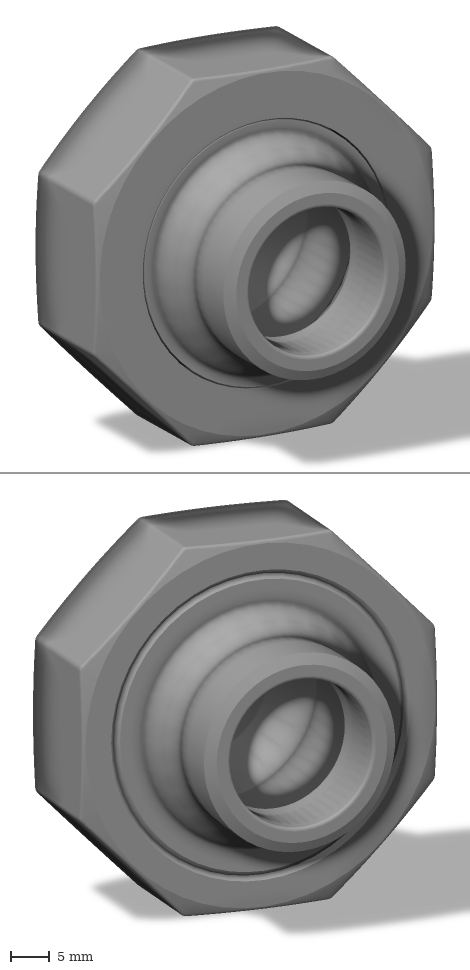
import cadquery as cq
import math

TOTAL_LENGTH = 45
NUT_ACROSS_FLATS = 50
NUT_WIDTH = 17.1
NUT_SIDES = 8

NUT_FACE_DIAMETER = 49.2
NUT_CHAMFER_ANGLE = 21
NUT_CORNER_FILLET = 1
NUT_CHAMFER_FILLET = 0.5

MOUTH_DIAMETER = 42
CHAMBER_DIAMETER = 39.85
LIP_HOLE_DIAMETER = 36.5
LIP_THICKNESS = 4.5

THREAD_CHAMFER_DIAMETER = 39.5
THREAD_DIAMETER = (MOUTH_DIAMETER + THREAD_CHAMFER_DIAMETER) / 2

COLLAR_DIAMETER = 39.5
COLLAR_NECK_DIAMETER = 36
COLLAR_LENGTH = 3.5

PIPE_DIAMETER = 26.9
BORE_DIAMETER = 20
PIPE_LENGTH = 8.65
PIPE_BEVEL_ANGLE = 30
PIPE_FACE_DIAMETER = 24
BORE_MOUTH_FILLET = 0.5
CONE_ANGLE = 30
CONE_BEND_FILLET = 0.5
CONE_ROOT_FILLET = 0.5
SEAT_FILLET = 0.5
SEAT_DIAMETER = 28

half_length = TOTAL_LENGTH / 2
half_width = NUT_WIDTH / 2
cone_start = half_length - PIPE_LENGTH
cone_slope = math.tan(math.radians(CONE_ANGLE))
lip_inner_x = half_width - LIP_THICKNESS
joint_x = lip_inner_x - COLLAR_LENGTH
wall_thickness = (PIPE_DIAMETER - BORE_DIAMETER) / 2
flare_start = cone_start - wall_thickness * math.tan(math.radians(CONE_ANGLE / 2))
seat_x = flare_start - (SEAT_DIAMETER - BORE_DIAMETER) / 2 / cone_slope


def revolve_about_x(points):
    """Solid of revolution from (x, radius) points."""
    return cq.Workplane("XY").polyline(points).close().revolve(360, (0, 0), (1, 0))


def round_circles(solid, radius, places):
    """Fillet the circular edges lying at the given (x, diameter) places."""
    tolerance = 0.005
    edges = [
        edge
        for edge in solid.edges("%CIRCLE").vals()
        for x, diameter in places
        if abs(edge.arcCenter().x - x) < tolerance
        and abs(edge.radius() - diameter / 2) < tolerance
    ]
    return solid.newObject(edges).fillet(radius)


def weld_end(side, body_points, end_x):
    """Weld pipe with its cone, on the -X (side -1) or +X (side 1) end.

    body_points continue the outline from the foot of the cone to the joint at end_x.
    """
    bevel = (PIPE_DIAMETER - PIPE_FACE_DIAMETER) / 2 * math.tan(math.radians(PIPE_BEVEL_ANGLE))
    cone_foot_radius = PIPE_DIAMETER / 2 + (cone_start - half_width) * cone_slope
    pipe_end = side * half_length
    bend_x = side * cone_start
    flare_x = side * flare_start
    foot_x = side * half_width
    outline = [
        (pipe_end, BORE_DIAMETER / 2),
        (pipe_end, PIPE_FACE_DIAMETER / 2),
        (pipe_end - side * bevel, PIPE_DIAMETER / 2),
        (bend_x, PIPE_DIAMETER / 2),
        (foot_x, cone_foot_radius),
        *body_points,
        (end_x, SEAT_DIAMETER / 2),
        (side * seat_x, SEAT_DIAMETER / 2),
        (flare_x, BORE_DIAMETER / 2),
    ]
    end = revolve_about_x(outline)
    end = round_circles(end, BORE_MOUTH_FILLET, [(pipe_end, BORE_DIAMETER)])
    end = round_circles(end, CONE_BEND_FILLET, [(bend_x, PIPE_DIAMETER), (flare_x, BORE_DIAMETER)])
    end = round_circles(end, SEAT_FILLET, [(side * seat_x, SEAT_DIAMETER)])
    return round_circles(end, CONE_ROOT_FILLET, [(foot_x, 2 * cone_foot_radius)])


def make_threaded_end():
    chamfer = (THREAD_DIAMETER - THREAD_CHAMFER_DIAMETER) / 2
    return weld_end(-1, [
        (-half_width, THREAD_CHAMFER_DIAMETER / 2),
        (-half_width + chamfer, THREAD_DIAMETER / 2),
        (joint_x, THREAD_DIAMETER / 2),
    ], joint_x)


def make_collared_end():
    return weld_end(1, [
        (half_width, COLLAR_NECK_DIAMETER / 2),
        (lip_inner_x, COLLAR_NECK_DIAMETER / 2),
        (lip_inner_x, COLLAR_DIAMETER / 2),
        (joint_x, COLLAR_DIAMETER / 2),
    ], joint_x)


def make_nut_blank():
    """Octagonal prism with rounded corners and a rounded conical chamfer on both faces."""
    across_corners = NUT_ACROSS_FLATS / math.cos(math.pi / NUT_SIDES)
    chamfer_slope = math.tan(math.radians(NUT_CHAMFER_ANGLE))
    half_corner_width = half_width - (across_corners - NUT_FACE_DIAMETER) / 2 * chamfer_slope
    prism = (
        cq.Workplane("YZ")
        .transformed(rotate=(0, 0, 180 / NUT_SIDES))
        .polygon(NUT_SIDES, across_corners)
        .extrude(half_width, both=True)
        .edges("|X")
        .fillet(NUT_CORNER_FILLET)
    )
    envelope = revolve_about_x([
        (-half_width, 0),
        (-half_width, NUT_FACE_DIAMETER / 2),
        (-half_corner_width, across_corners / 2),
        (half_corner_width, across_corners / 2),
        (half_width, NUT_FACE_DIAMETER / 2),
        (half_width, 0),
    ])
    blank = prism.intersect(envelope)
    side_faces = blank.faces("%PLANE").faces("#X")
    chamfer_edges = side_faces.edges("not |X").add(blank.faces("%CYLINDER").edges("not |X"))
    return blank.newObject(chamfer_edges.vals()).fillet(NUT_CHAMFER_FILLET)


def make_nut():
    mouth_chamfer = (MOUTH_DIAMETER - THREAD_DIAMETER) / 2
    cavity = revolve_about_x([
        (-half_width, 0),
        (-half_width, MOUTH_DIAMETER / 2),
        (-half_width + mouth_chamfer, THREAD_DIAMETER / 2),
        (joint_x, THREAD_DIAMETER / 2),
        (joint_x, CHAMBER_DIAMETER / 2),
        (lip_inner_x, CHAMBER_DIAMETER / 2),
        (lip_inner_x, LIP_HOLE_DIAMETER / 2),
        (half_width, LIP_HOLE_DIAMETER / 2),
        (half_width, 0),
    ])
    return make_nut_blank().cut(cavity)


threaded_end = make_threaded_end()
collared_end = make_collared_end()
nut = make_nut()

result = cq.Compound.makeCompound([threaded_end.val(), collared_end.val(), nut.val()])